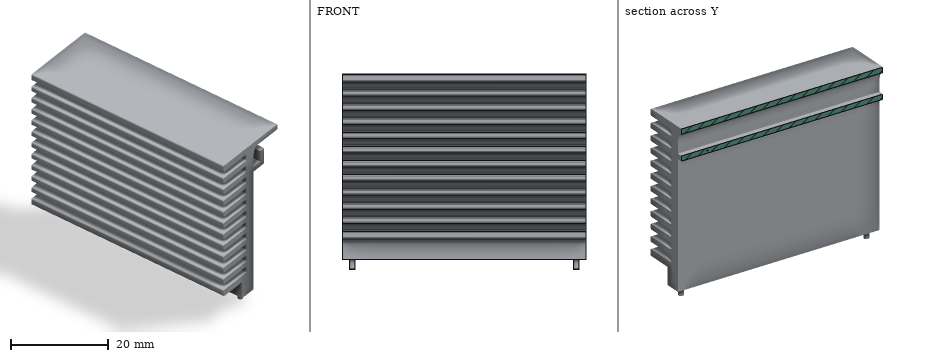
import cadquery as cq


length = 50.0
body_height = 38.0
fin_reach = 10.0
flange_reach = 8.0

web_thickness = 2.4
foot_thickness = 3.8

slot_count = 11
fin_pitch = 2.9
slot_height = 1.6
end_fin_thickness = 1.6
slot_corner_radius = 0.35
fin_tip_radius = 0.3

flange_thickness = 1.35
flange_edge_radius = 0.3
gusset_depth = 0.95
gusset_height = 2.5

hook_reach = 3.55
hook_wall = 1.3
hook_height = 3.95
hook_bottom_drop = 7.5

pin_diameter = 1.2
pin_length = 2.0
pin_inset = 2.02
pin_y = -1.85

fin_block_height = 2 * end_fin_thickness + slot_height + (slot_count - 1) * fin_pitch
fin_block_bottom = body_height - fin_block_height
hook_bottom = body_height - hook_bottom_drop
flange_bottom = body_height - flange_thickness


def bar(y_min, y_max, z_min, z_max):
    """Full-length bar with a rectangular section, centred on X = 0."""
    return cq.Workplane("XY").box(length, y_max - y_min, z_max - z_min).translate(
        (0, (y_min + y_max) / 2, (z_min + z_max) / 2)
    )


def make_web_and_foot():
    web = bar(-web_thickness, 0, 0, body_height)
    foot = bar(-foot_thickness, 0, 0, fin_block_bottom)
    return web.union(foot)


def make_fins():
    """Solid block in front of the web, cut by slots, with rounded tips."""
    fins = bar(-fin_reach, 0, fin_block_bottom, body_height)
    for i in range(slot_count):
        slot_top = body_height - end_fin_thickness - i * fin_pitch
        slot = bar(-fin_reach, -web_thickness, slot_top - slot_height, slot_top)
        slot = slot.edges("|X and >Y").fillet(slot_corner_radius)
        fins = fins.cut(slot)
    return fins.faces("<Y").edges("|X").fillet(fin_tip_radius)


def make_flange():
    flange = bar(-web_thickness, flange_reach, flange_bottom, body_height)
    return flange.edges("|X and >Y and >Z").fillet(flange_edge_radius)


def make_gusset():
    """Corner fill below the flange, with a quarter-ellipse hollow."""
    hollow_bottom = flange_bottom - gusset_height
    hollow = (
        cq.Workplane("YZ")
        .center(gusset_depth, hollow_bottom)
        .ellipse(gusset_depth, gusset_height)
        .extrude(length / 2, both=True)
    )
    return bar(0, gusset_depth, hollow_bottom, flange_bottom).cut(hollow)


def make_hook():
    floor = bar(0, hook_reach, hook_bottom, hook_bottom + hook_wall)
    lip = bar(hook_reach - hook_wall, hook_reach, hook_bottom, hook_bottom + hook_height)
    return floor.union(lip)


def make_pins():
    pin_x = length / 2 - pin_inset
    return (
        cq.Workplane("XY")
        .pushPoints([(-pin_x, pin_y), (pin_x, pin_y)])
        .circle(pin_diameter / 2)
        .extrude(-pin_length)
    )


heat_sink = (
    make_web_and_foot()
    .union(make_fins())
    .union(make_flange())
    .union(make_gusset())
    .union(make_hook())
    .union(make_pins())
)

result = heat_sink.solids()